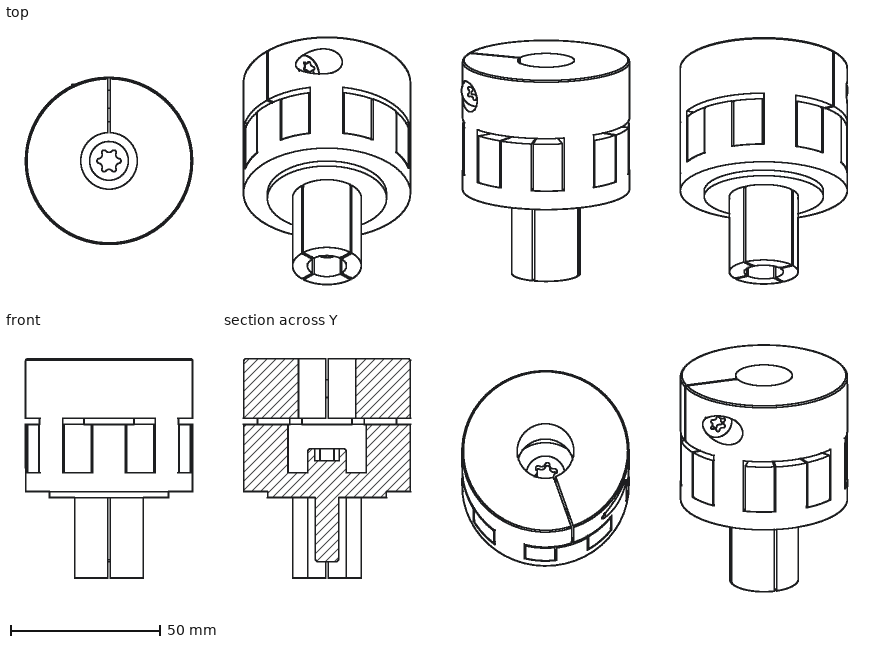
import cadquery as cq
import math


TOTAL_HEIGHT = 73.5
BODY_RADIUS = 56.0 / 2
TOP_CHAMFER = 0.5
CUT_RADIUS = BODY_RADIUS + 0.7

CLAMP_HUB_HEIGHT = 20.0
CLAMP_BORE_RADIUS = 18.95 / 2
SLIT_WIDTH = 0.7

HUB_GAP = 2.0
SPIDER_HEIGHT = 16.2
SPIDER_BORE_RADIUS = 26.2 / 2
JAW_INNER_RADIUS = 15.0
JAW_COUNT = 4
JAW_PITCH = 360.0 / JAW_COUNT
SECTOR_ANGLE = JAW_PITCH / 4
LEG_CLEARANCE_ANGLE = 1.1
LEG_RECESS = 0.15

BODY_BOTTOM = 28.95
COLLAR_RADIUS = 40.0 / 2
COLLAR_HEIGHT = 2.0
SHAFT_RADIUS = 23.1 / 2
SHAFT_BORE_RADIUS = 13.1 / 2

CENTRE_HEAD_RADIUS = 13.0 / 2
CENTRE_HEAD_HEIGHT = 8.0
CENTRE_HEAD_FILLET = 0.9
CENTRE_SHANK_RADIUS = 8.0 / 2
CENTRE_SCREW_BOTTOM = 5.45
CENTRE_TIP_CHAMFER = 0.65
CENTRE_SOCKET_TIP_RADIUS = 8.1 / 2
CENTRE_SOCKET_VALLEY_RADIUS = 5.65 / 2

CLAMP_HEAD_RADIUS = 10.0 / 2
CLAMP_HEAD_HEIGHT = 6.0
CLAMP_HEAD_FILLET = 0.5
CLAMP_SHANK_RADIUS = 6.0 / 2
CLAMP_SHANK_LENGTH = 16.2
CLAMP_SOCKET_TIP_RADIUS = 5.6 / 2
CLAMP_SOCKET_VALLEY_RADIUS = 3.9 / 2
CLAMP_SCREW_Y = 20.7
CLAMP_HEAD_FACE_X = -12.5

SOCKET_LOBES = 6
SOCKET_LOBE_HALF_ANGLE = 13.0
SOCKET_DEPTH_RATIO = 0.5

CLAMP_HUB_BOTTOM = TOTAL_HEIGHT - CLAMP_HUB_HEIGHT
SPIDER_TOP = CLAMP_HUB_BOTTOM - HUB_GAP
SPIDER_BOTTOM = SPIDER_TOP - SPIDER_HEIGHT
COLLAR_BOTTOM = BODY_BOTTOM - COLLAR_HEIGHT
CLAMP_SCREW_Z = TOTAL_HEIGHT - CLAMP_HUB_HEIGHT / 2


def cylinder(radius, bottom, top):
    return cq.Workplane("XY").workplane(offset=bottom).circle(radius).extrude(top - bottom)


def tube(inner_radius, outer_radius, bottom, top):
    return cylinder(outer_radius, bottom, top).cut(cylinder(inner_radius, bottom, top))


def polar(radius, angle):
    return (radius * math.cos(math.radians(angle)), radius * math.sin(math.radians(angle)))


def ring_sector(inner_radius, outer_radius, start, end, bottom, top):
    """Radial-walled block between two angles in degrees."""
    middle = (start + end) / 2
    return (
        cq.Workplane("XY").workplane(offset=bottom)
        .moveTo(*polar(inner_radius, start))
        .lineTo(*polar(outer_radius, start))
        .threePointArc(polar(outer_radius, middle), polar(outer_radius, end))
        .lineTo(*polar(inner_radius, end))
        .threePointArc(polar(inner_radius, middle), polar(inner_radius, start))
        .close()
        .extrude(top - bottom)
    )


def six_lobe_socket(tip_radius, valley_radius, depth):
    """Socket cutter going down from the origin, with one lobe on +X."""
    flank_radius = (tip_radius + valley_radius) / 2
    pitch = 360.0 / SOCKET_LOBES
    outline = cq.Workplane("XY").moveTo(*polar(flank_radius, -SOCKET_LOBE_HALF_ANGLE))
    for lobe in range(SOCKET_LOBES):
        angle = lobe * pitch
        lobe_end = polar(flank_radius, angle + SOCKET_LOBE_HALF_ANGLE)
        next_lobe_start = polar(flank_radius, angle + pitch - SOCKET_LOBE_HALF_ANGLE)
        outline = outline.threePointArc(polar(tip_radius, angle), lobe_end)
        outline = outline.threePointArc(polar(valley_radius, angle + pitch / 2), next_lobe_start)
    return outline.close().extrude(-depth)


def screw_head(radius, height, fillet, socket_tip_radius, socket_valley_radius):
    """Cylindrical head with its outer face at the origin, extending down."""
    head = cylinder(radius, -height, 0).faces(">Z").edges().fillet(fillet)
    socket = six_lobe_socket(socket_tip_radius, socket_valley_radius, height * SOCKET_DEPTH_RATIO)
    return head.cut(socket)


def make_body():
    """Outer drum with the central cavity, clamping bore and clamping slit."""
    body = cylinder(BODY_RADIUS, BODY_BOTTOM, TOTAL_HEIGHT).faces(">Z").edges().chamfer(TOP_CHAMFER)
    body = body.cut(cylinder(SPIDER_BORE_RADIUS, SPIDER_BOTTOM, CLAMP_HUB_BOTTOM))
    body = body.cut(cylinder(CLAMP_BORE_RADIUS, CLAMP_HUB_BOTTOM, TOTAL_HEIGHT))
    slit = (
        cq.Workplane("XY").workplane(offset=CLAMP_HUB_BOTTOM)
        .center(0, BODY_RADIUS / 2)
        .rect(SLIT_WIDTH, BODY_RADIUS)
        .extrude(CLAMP_HUB_HEIGHT)
    )
    return body.cut(slit)


def cut_hub_gap(body):
    """Open the gap under the clamping hub, leaving its four hanging jaws on the diagonals."""
    body = body.cut(cylinder(JAW_INNER_RADIUS, SPIDER_TOP, CLAMP_HUB_BOTTOM))
    gap_half_angle = JAW_PITCH / 2 - SECTOR_ANGLE / 2
    for jaw in range(JAW_COUNT):
        centre = jaw * JAW_PITCH
        body = body.cut(
            ring_sector(
                SPIDER_BORE_RADIUS, CUT_RADIUS,
                centre - gap_half_angle, centre + gap_half_angle,
                SPIDER_TOP, CLAMP_HUB_BOTTOM,
            )
        )
    return body


def cut_spider_legs(body):
    """Separate the spider legs from the jaws beside them and set them slightly below the drum surface."""
    leg_pitch = 2 * SECTOR_ANGLE
    half_sector = SECTOR_ANGLE / 2
    leg_half_angle = half_sector - LEG_CLEARANCE_ANGLE
    for leg in range(2 * JAW_COUNT):
        centre = SECTOR_ANGLE + leg * leg_pitch
        cuts = (
            (JAW_INNER_RADIUS, centre - half_sector, centre - leg_half_angle),
            (JAW_INNER_RADIUS, centre + leg_half_angle, centre + half_sector),
            (BODY_RADIUS - LEG_RECESS, centre - half_sector, centre + half_sector),
        )
        for inner_radius, start, end in cuts:
            body = body.cut(ring_sector(inner_radius, CUT_RADIUS, start, end, SPIDER_BOTTOM, SPIDER_TOP))
    return body


def make_shaft():
    """Collar and the hollow shaft split by two crossing slits."""
    collar = cylinder(COLLAR_RADIUS, COLLAR_BOTTOM, BODY_BOTTOM)
    shaft = tube(SHAFT_BORE_RADIUS, SHAFT_RADIUS, 0, COLLAR_BOTTOM)
    for size_x, size_y in ((SLIT_WIDTH, 2 * SHAFT_RADIUS), (2 * SHAFT_RADIUS, SLIT_WIDTH)):
        shaft = shaft.cut(cq.Workplane("XY").rect(size_x, size_y).extrude(COLLAR_BOTTOM))
    return collar.union(shaft)


def make_centre_screw():
    head_top = SPIDER_BOTTOM + CENTRE_HEAD_HEIGHT
    head = screw_head(
        CENTRE_HEAD_RADIUS, CENTRE_HEAD_HEIGHT, CENTRE_HEAD_FILLET,
        CENTRE_SOCKET_TIP_RADIUS, CENTRE_SOCKET_VALLEY_RADIUS,
    ).translate((0, 0, head_top))
    shank = cylinder(CENTRE_SHANK_RADIUS, CENTRE_SCREW_BOTTOM, SPIDER_BOTTOM)
    shank = shank.faces("<Z").edges().chamfer(CENTRE_TIP_CHAMFER)
    return head.union(shank)


def place_clamp_screw(shape):
    """Turn a shape's +Z to -X and its +X to +Z, then move its origin to the head face."""
    turned = shape.rotate((0, 0, 0), (0, 1, 0), -90)
    return turned.translate((CLAMP_HEAD_FACE_X, CLAMP_SCREW_Y, CLAMP_SCREW_Z))


def add_clamp_screw(body):
    counterbore = cylinder(CLAMP_HEAD_RADIUS, -CLAMP_HEAD_HEIGHT, BODY_RADIUS)
    head = screw_head(
        CLAMP_HEAD_RADIUS, CLAMP_HEAD_HEIGHT, CLAMP_HEAD_FILLET,
        CLAMP_SOCKET_TIP_RADIUS, CLAMP_SOCKET_VALLEY_RADIUS,
    )
    shank = cylinder(CLAMP_SHANK_RADIUS, -CLAMP_HEAD_HEIGHT - CLAMP_SHANK_LENGTH, -CLAMP_HEAD_HEIGHT)
    screw = head.union(shank)
    return body.cut(place_clamp_screw(counterbore)).union(place_clamp_screw(screw))


coupling = cut_spider_legs(cut_hub_gap(make_body()))
coupling = coupling.union(make_shaft()).union(make_centre_screw())
result = add_clamp_screw(coupling)